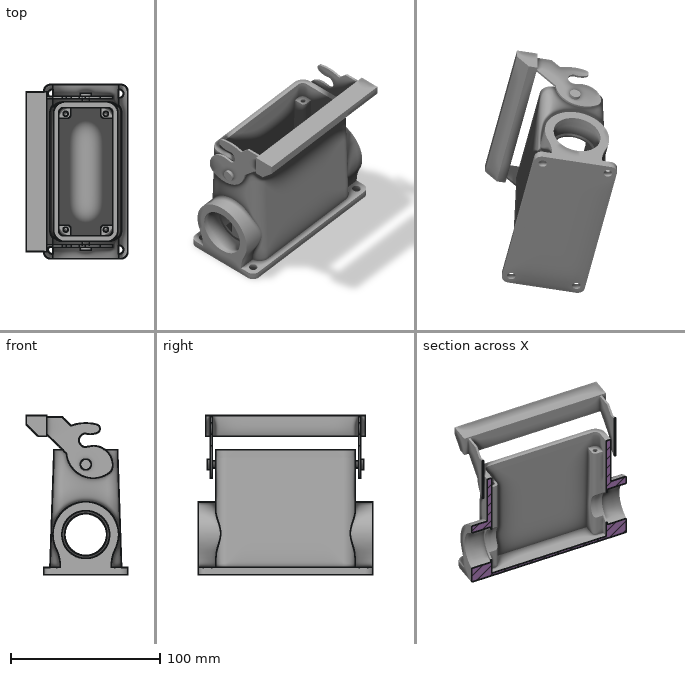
import cadquery as cq
import math

base_width = 56.5
base_length = 117.0
base_thickness = 5.0
base_corner_radius = 5.0

slot_width = 5.5
slot_length = 5.8
slot_outer_end_x = 25.2
slot_y = 52.3

shell_length = 93.5
shell_rim_width = 43.1
shell_foot_width = 48.1
shell_corner_radius = 7.5
rim_start_z = 78.5
rim_top_z = 84.0

cavity_length = 86.0
cavity_rim_width = 36.0
cavity_corner_radius = 3.75
cavity_floor_z = 2.5
cavity_foot_width = cavity_rim_width + shell_foot_width - shell_rim_width

post_width = 8.0
post_depth = 7.2
post_corner_radius = 2.5
post_top_z = 72.0
post_hole_x = 13.5
post_hole_y = 38.8
post_hole_diameter = 3.3
post_hole_depth = 10.0

port_z = 27.0
port_outer_radius = 22.0
port_neck_half_width = 17.0
port_bore_diameter = 28.0
port_counterbore_diameter = 32.0
port_counterbore_depth = 14.3

pivot_z = 74.0
pivot_shaft_diameter = 5.0
pivot_head_diameter = 7.25
pivot_end_y = 52.6

plate_inner_y = 49.0
plate_thickness = 1.5
plate_outer_y = plate_inner_y + plate_thickness

handle_left_x = -40.0
handle_size = 14.0
handle_chamfer = 8.0
handle_top_z = 106.8
handle_length = 107.0
handle_right_x = handle_left_x + handle_size
handle_bottom_z = handle_top_z - handle_size

arm_top_step = 1.0
arm_top_z = handle_top_z - arm_top_step
arm_bottom_z = 94.0
arm_top_end_x = -15.75

finger_outer_radius = 27.85
finger_start_x = -9.85
finger_end_x = 7.15
finger_tip = (9.55, 98.3)
finger_under_start = (7.85, 95.2)
finger_under_middle = (3.35, 94.2)

hook_z = 90.2
hook_radius = 4.5
hook_mouth_half_angle = 95.0

cam_x = 5.0
cam_upper_z = 73.6
cam_upper_radius = 13.0
cam_lower_z = 82.8
cam_lower_radius = 18.0
cam_corner_middle = (17.2, 70.0)
cam_side_angle = 45.0
cam_corner_start_angle = -3.0
cam_corner_end_angle = -57.0
cam_bottom_angle = -120.0
cam_left_angle = -175.0


def tapered_shell(rim_width, foot_width, length, radius, foot_z):
    """Rounded prism whose long sides slope up to a straight rim."""
    shell = (
        cq.Workplane("XZ")
        .moveTo(-foot_width / 2, foot_z)
        .lineTo(foot_width / 2, foot_z)
        .lineTo(rim_width / 2, rim_start_z)
        .lineTo(rim_width / 2, rim_top_z)
        .lineTo(-rim_width / 2, rim_top_z)
        .lineTo(-rim_width / 2, rim_start_z)
        .close()
        .extrude(length / 2, both=True)
    )
    return shell.edges("not (|X or |Y)").fillet(radius)


def y_cylinder(diameter, z, y_start, y_end):
    """Cylinder along Y on the middle plane X = 0."""
    return (
        cq.Workplane("XZ", origin=(0, y_start, z))
        .circle(diameter / 2)
        .extrude(y_start - y_end)
    )


def make_base():
    base = (
        cq.Workplane("XY")
        .rect(base_width, base_length)
        .extrude(base_thickness)
        .edges("|Z").fillet(base_corner_radius)
    )
    slot_x = slot_outer_end_x - slot_length / 2
    slots = (
        cq.Workplane("XY")
        .pushPoints([(sx * slot_x, sy * slot_y) for sx in (-1, 1) for sy in (-1, 1)])
        .slot2D(slot_length, slot_width)
        .extrude(base_thickness)
    )
    return base.cut(slots)


def make_ports():
    """Round cable ports with flared necks, drawn as one bar along the whole base."""
    rise = port_z - base_thickness
    flare_radius = (
        (port_neck_half_width ** 2 + rise ** 2 - port_outer_radius ** 2)
        / (2 * (port_outer_radius - port_neck_half_width))
    )
    flare_x = port_neck_half_width + flare_radius
    tangent_angle = math.atan2(rise, flare_x)
    tangent_x = port_outer_radius * math.cos(tangent_angle)
    tangent_z = port_z - port_outer_radius * math.sin(tangent_angle)
    middle_x = flare_x - flare_radius * math.cos(tangent_angle / 2)
    middle_z = base_thickness + flare_radius * math.sin(tangent_angle / 2)
    return (
        cq.Workplane("XZ")
        .moveTo(-port_neck_half_width, base_thickness)
        .lineTo(port_neck_half_width, base_thickness)
        .threePointArc((middle_x, middle_z), (tangent_x, tangent_z))
        .threePointArc((0, port_z + port_outer_radius), (-tangent_x, tangent_z))
        .threePointArc((-middle_x, middle_z), (-port_neck_half_width, base_thickness))
        .close()
        .extrude(base_length / 2, both=True)
    )


def make_posts():
    """Screw posts in the four corners of the cavity."""
    post_height = post_top_z - cavity_floor_z
    inner_x = cavity_rim_width / 2 - post_width
    outer_x = cavity_foot_width / 2
    inner_y = cavity_length / 2 - post_depth
    post = (
        cq.Workplane("XY", origin=(inner_x, inner_y, cavity_floor_z))
        .rect(outer_x - inner_x, post_depth, centered=False)
        .extrude(post_height)
        .edges("|Z and <X and <Y").fillet(post_corner_radius)
    )
    hole = (
        cq.Workplane("XY", origin=(post_hole_x, post_hole_y, post_top_z))
        .circle(post_hole_diameter / 2)
        .extrude(-post_hole_depth)
    )
    right_pair = post.cut(hole)
    right_pair = right_pair.union(right_pair.mirror("XZ"))
    return right_pair.union(right_pair.mirror("YZ"))


def make_pivot_pin(side):
    wall_y = (shell_length + cavity_length) / 4
    shaft = y_cylinder(pivot_shaft_diameter, pivot_z, side * wall_y, side * pivot_end_y)
    head = y_cylinder(pivot_head_diameter, pivot_z, side * plate_outer_y, side * pivot_end_y)
    return shaft.union(head)


def make_housing():
    shell = tapered_shell(
        shell_rim_width, shell_foot_width, shell_length, shell_corner_radius, base_thickness
    )
    cavity = tapered_shell(
        cavity_rim_width, cavity_foot_width, cavity_length, cavity_corner_radius, cavity_floor_z
    )
    housing = make_base().union(shell).union(make_ports())
    housing = housing.cut(cavity.cut(make_posts()))

    half_length = base_length / 2
    housing = housing.cut(y_cylinder(port_bore_diameter, port_z, -half_length, half_length))
    counterbore_end = half_length - port_counterbore_depth
    for side in (-1, 1):
        housing = housing.cut(
            y_cylinder(port_counterbore_diameter, port_z, side * half_length, side * counterbore_end)
        )
        housing = housing.union(make_pivot_pin(side))
    return housing


def circle_point(x, z, radius, degrees):
    angle = math.radians(degrees)
    return (x + radius * math.cos(angle), z + radius * math.sin(angle))


def finger_outer_z(x):
    return pivot_z + math.sqrt(finger_outer_radius ** 2 - x ** 2)


def make_plate(side):
    """Side plate with an arm, a hooked finger and a rounded cam around the pivot."""
    hook_upper = circle_point(0, hook_z, hook_radius, hook_mouth_half_angle)
    hook_lower = circle_point(0, hook_z, hook_radius, -hook_mouth_half_angle)
    cam_top = (cam_x, cam_upper_z + cam_upper_radius)
    cam_side = circle_point(cam_x, cam_upper_z, cam_upper_radius, cam_side_angle)
    cam_corner_start = circle_point(cam_x, cam_upper_z, cam_upper_radius, cam_corner_start_angle)
    cam_corner_end = circle_point(cam_x, cam_lower_z, cam_lower_radius, cam_corner_end_angle)
    cam_bottom = circle_point(cam_x, cam_lower_z, cam_lower_radius, cam_bottom_angle)
    cam_left = circle_point(cam_x, cam_lower_z, cam_lower_radius, cam_left_angle)
    outline = (
        cq.Workplane("XZ", origin=(0, side * plate_inner_y, 0))
        .moveTo(handle_right_x, arm_bottom_z)
        .lineTo(handle_right_x, arm_top_z)
        .lineTo(arm_top_end_x, arm_top_z)
        .lineTo(finger_start_x, finger_outer_z(finger_start_x))
        .threePointArc((0, finger_outer_z(0)), (finger_end_x, finger_outer_z(finger_end_x)))
        .threePointArc(finger_tip, finger_under_start)
        .threePointArc(finger_under_middle, hook_upper)
        .threePointArc((-hook_radius, hook_z), hook_lower)
        .lineTo(*cam_top)
        .threePointArc(cam_side, cam_corner_start)
        .threePointArc(cam_corner_middle, cam_corner_end)
        .threePointArc(cam_bottom, cam_left)
        .close()
    )
    plate = outline.extrude(-side * plate_thickness)
    return plate.cut(
        y_cylinder(pivot_shaft_diameter, pivot_z, side * plate_inner_y, side * plate_outer_y)
    )


def make_lever():
    lever = (
        cq.Workplane("XZ")
        .moveTo(handle_left_x, handle_top_z)
        .lineTo(handle_right_x, handle_top_z)
        .lineTo(handle_right_x, handle_bottom_z)
        .lineTo(handle_left_x + handle_chamfer, handle_bottom_z)
        .lineTo(handle_left_x, handle_bottom_z + handle_chamfer)
        .close()
        .extrude(handle_length / 2, both=True)
    )
    for side in (-1, 1):
        lever = lever.union(make_plate(side))
    return lever


housing = make_housing()
lever = make_lever()

result = cq.Compound.makeCompound([housing.val(), lever.val()])